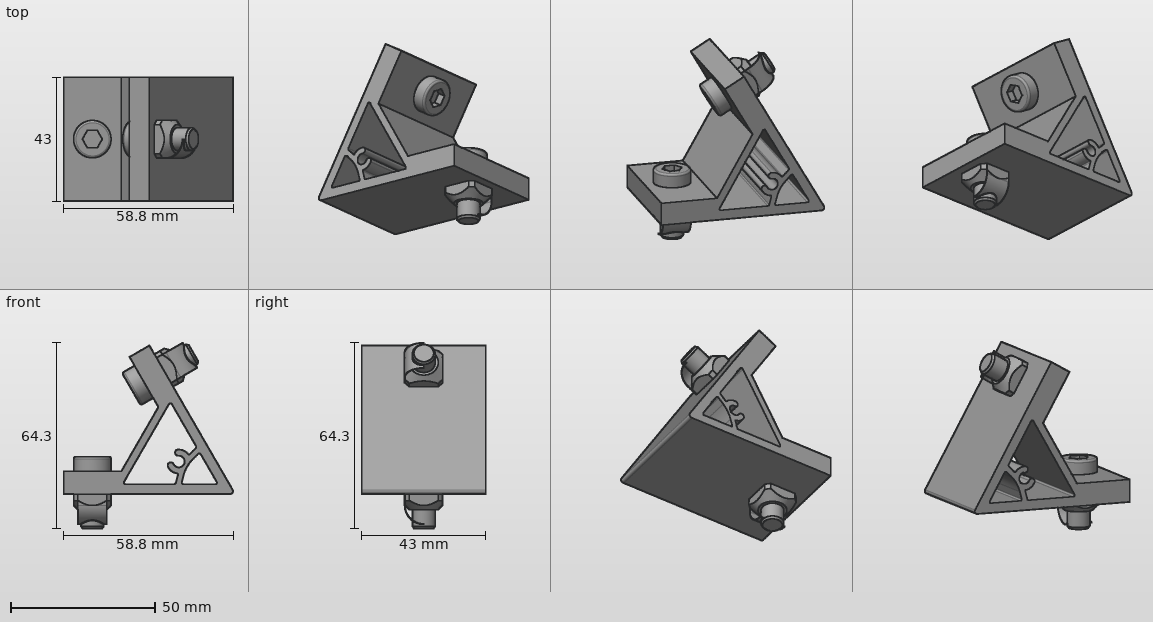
import cadquery as cq
import math

WIDTH = 43.0
ARM_ANGLE = 60.0
ARM_LENGTH = 59.5
ARM_THICKNESS = 8.0
ARM_FREE_LENGTH = 20.0
CORNER_RADIUS = 1.0
WALL_THICKNESS = 3.5
BRACE_THICKNESS = 2.7
CAVITY_RADIUS = 0.5
HALF_ANGLE = math.radians(ARM_ANGLE / 2)

WEB_THICKNESS = 2.0
WEB_INNER_RADIUS = 11.9
WEB_BEND = math.radians(15)
WEB_DISTANCE = 19.2
WEB_OUTER_RADIUS = WEB_INNER_RADIUS + WEB_THICKNESS
WEB_REACH = 19.3
BEND_CENTRE = WEB_DISTANCE - WEB_INNER_RADIUS
CLIP_DISTANCE = 22.6
CLIP_OUTER_RADIUS = 4.2
CLIP_INNER_RADIUS = 2.0
CLIP_ROOT_RADIUS = 0.3
CLIP_MOUTH = math.radians(56)

SCREW_INSET = 10.0
SCREW_DIAMETER = 8.0
SCREW_TIP_DIAMETER = 6.8
SCREW_TIP_CHAMFER = 0.85
SCREW_REACH = 11.9
HEAD_DIAMETER = 13.0
HEAD_HEIGHT = 5.0
HEAD_RADIUS = 0.8
SOCKET_FLATS = 6.0
SOCKET_DEPTH = 3.0

NUT_SIZE = 13.0
NUT_HEIGHT = 5.4
NUT_CORNER = 1.5
NUT_END_DIAMETER = 10.05
LEAF_THICKNESS = 0.2
LEAF_STRAIGHT = 3.8

LEAF_WIDTH = NUT_SIZE - 2 * NUT_CORNER
BISECTOR = math.pi - HALF_ANGLE
UPPER_ARM = math.pi - 2 * HALF_ANGLE


def polar(radius, angle):
    return (radius * math.cos(angle), radius * math.sin(angle))


corner_plane = cq.Plane(
    origin=(ARM_LENGTH, 0, 0),
    xDir=(math.cos(BISECTOR), 0, math.sin(BISECTOR)),
    normal=(0, -1, 0),
)


def arm_plane(x, z, angle):
    """Outer face of an arm: local X along the arm at the angle, local Z into the bracket."""
    return cq.Plane(
        origin=(x, 0, z),
        xDir=(math.cos(angle), 0, math.sin(angle)),
        normal=(-math.sin(angle), 0, math.cos(angle)),
    )


screw_distance = ARM_LENGTH - SCREW_INSET
upper_dx, upper_dz = polar(screw_distance, UPPER_ARM)
fastener_planes = [
    arm_plane(SCREW_INSET, 0, 0),
    arm_plane(ARM_LENGTH + upper_dx, upper_dz, UPPER_ARM),
]


def make_outline():
    """Solid bracket outline: an equilateral triangle with both arms running past the brace."""
    end_x, end_z = polar(ARM_LENGTH, UPPER_ARM)
    in_x, in_z = polar(ARM_THICKNESS, UPPER_ARM + math.pi / 2)
    free_x, free_z = polar(ARM_FREE_LENGTH, UPPER_ARM + math.pi)
    end = (ARM_LENGTH + end_x, end_z)
    inner_end = (end[0] + in_x, end[1] + in_z)
    brace_top = (inner_end[0] + free_x, inner_end[1] + free_z)
    outline = [
        (0, 0),
        (ARM_LENGTH, 0),
        end,
        inner_end,
        brace_top,
        (ARM_FREE_LENGTH, ARM_THICKNESS),
        (0, ARM_THICKNESS),
    ]
    body = cq.Workplane("XZ").polyline(outline).close().extrude(WIDTH / 2, both=True)
    return body.edges("|Y and >X").fillet(CORNER_RADIUS)


def make_web():
    """Bent web across the cavity, symmetric about the bisector and hollowed by the clip bore."""
    def bend_point(radius, angle):
        u, v = polar(radius, angle)
        return (BEND_CENTRE + u, v)

    def end_point(radius, side):
        u, v = bend_point(radius, side * WEB_BEND)
        return (u - WEB_REACH * math.sin(WEB_BEND), v + side * WEB_REACH * math.cos(WEB_BEND))

    strip = (
        cq.Workplane(corner_plane)
        .moveTo(*end_point(WEB_INNER_RADIUS, -1))
        .lineTo(*bend_point(WEB_INNER_RADIUS, -WEB_BEND))
        .threePointArc(bend_point(WEB_INNER_RADIUS, 0), bend_point(WEB_INNER_RADIUS, WEB_BEND))
        .lineTo(*end_point(WEB_INNER_RADIUS, 1))
        .lineTo(*end_point(WEB_OUTER_RADIUS, 1))
        .lineTo(*bend_point(WEB_OUTER_RADIUS, WEB_BEND))
        .threePointArc(bend_point(WEB_OUTER_RADIUS, 0), bend_point(WEB_OUTER_RADIUS, -WEB_BEND))
        .lineTo(*end_point(WEB_OUTER_RADIUS, -1))
        .close()
        .extrude(WIDTH / 2, both=True)
    )
    axis = cq.Workplane(corner_plane).center(CLIP_DISTANCE, 0)
    return strip.cut(axis.circle(CLIP_INNER_RADIUS).extrude(WIDTH / 2, both=True))


def make_clip():
    """C-shaped clip with round tips, opening along the bisector away from the corner."""
    tip_radius = (CLIP_OUTER_RADIUS - CLIP_INNER_RADIUS) / 2
    tip_u, tip_v = polar(CLIP_INNER_RADIUS + tip_radius, CLIP_MOUTH)
    crown_u = tip_u + tip_radius * math.sin(CLIP_MOUTH)
    crown_v = tip_v - tip_radius * math.cos(CLIP_MOUTH)
    outer_u, outer_v = polar(CLIP_OUTER_RADIUS, CLIP_MOUTH)
    inner_u, inner_v = polar(CLIP_INNER_RADIUS, CLIP_MOUTH)
    return (
        cq.Workplane(corner_plane)
        .center(CLIP_DISTANCE, 0)
        .moveTo(outer_u, outer_v)
        .threePointArc((-CLIP_OUTER_RADIUS, 0), (outer_u, -outer_v))
        .threePointArc((crown_u, -crown_v), (inner_u, -inner_v))
        .threePointArc((-CLIP_INNER_RADIUS, 0), (inner_u, inner_v))
        .threePointArc((crown_u, crown_v), (outer_u, outer_v))
        .close()
        .extrude(WIDTH / 2, both=True)
    )


def make_cavities():
    """The two parts of the triangular cavity, the one in the corner first."""
    arm_side = ARM_LENGTH - ARM_FREE_LENGTH - ARM_THICKNESS / math.tan(HALF_ANGLE)
    brace_distance = ARM_THICKNESS / math.sin(HALF_ANGLE) + arm_side * math.cos(HALF_ANGLE)
    near = WALL_THICKNESS / math.sin(HALF_ANGLE)
    far = brace_distance - BRACE_THICKNESS
    half_width = (far - near) * math.tan(HALF_ANGLE)
    triangle = (
        cq.Workplane(corner_plane)
        .polyline([(near, 0), (far, half_width), (far, -half_width)])
        .close()
        .extrude(WIDTH / 2, both=True)
    )
    parts = triangle.cut(make_web()).solids().vals()
    parts.sort(key=lambda part: part.Volume())
    return [
        cq.Workplane(part).edges("|Y").edges("<Z or >Z or >X").fillet(CAVITY_RADIUS) for part in parts
    ]


def leave_clip(cavity):
    """Take the clip out of the cavity, so that it stays standing on the web with rounded roots."""
    web_offset = (CLIP_DISTANCE - BEND_CENTRE) * math.cos(WEB_BEND) - WEB_OUTER_RADIUS
    root_angle = math.pi + WEB_BEND - math.acos(web_offset / CLIP_OUTER_RADIUS)
    root_u, root_v = polar(CLIP_OUTER_RADIUS, root_angle)
    cavity = cavity.cut(make_clip())
    for side in (1, -1):
        root = corner_plane.toWorldCoords((CLIP_DISTANCE + root_u, side * root_v, 0))
        cavity = cavity.edges(cq.NearestToPointSelector(root.toTuple())).fillet(CLIP_ROOT_RADIUS)
    return cavity


def make_bracket():
    bracket = make_outline()
    corner_cavity, brace_cavity = make_cavities()
    bracket = bracket.cut(corner_cavity).cut(leave_clip(brace_cavity))
    for plane in fastener_planes:
        hole = cq.Workplane(plane).circle(SCREW_DIAMETER / 2).extrude(ARM_THICKNESS)
        bracket = bracket.cut(hole)
    return bracket


def make_screw(plane):
    """Socket head screw, its head resting on the inner face of the arm."""
    head_seat = cq.Workplane(plane).workplane(offset=ARM_THICKNESS)
    head = head_seat.circle(HEAD_DIAMETER / 2).extrude(HEAD_HEIGHT)
    head = head.faces(cq.selectors.DirectionMinMaxSelector(plane.zDir)).edges().fillet(HEAD_RADIUS)
    socket = (
        head_seat.workplane(offset=HEAD_HEIGHT)
        .polygon(6, SOCKET_FLATS / math.cos(math.pi / 6))
        .extrude(-SOCKET_DEPTH)
    )
    shank = head_seat.circle(SCREW_DIAMETER / 2).extrude(-(ARM_THICKNESS + SCREW_REACH))
    tip_edge = shank.faces(cq.selectors.DirectionMinMaxSelector(plane.zDir, False)).edges()
    tip_inset = (SCREW_DIAMETER - SCREW_TIP_DIAMETER) / 2
    return head.union(tip_edge.chamfer(SCREW_TIP_CHAMFER, tip_inset)).cut(socket)


def make_nut(plane):
    """Square nut with a conical end and a thin spring leaf curling under it on the -Y side."""
    face = cq.Workplane(plane)
    half = NUT_SIZE / 2
    block_corners = [
        (half, half - NUT_CORNER),
        (half - NUT_CORNER, half),
        (NUT_CORNER - half, half),
        (-half, half - NUT_CORNER),
        (-half, NUT_CORNER - half),
        (NUT_CORNER - half, -half),
        (half - NUT_CORNER, -half),
        (half, NUT_CORNER - half),
    ]
    block = face.polyline(block_corners).close().extrude(-NUT_HEIGHT)
    cone = (
        face.workplane(offset=-NUT_HEIGHT)
        .circle(NUT_END_DIAMETER / 2)
        .workplane(offset=NUT_HEIGHT)
        .circle(NUT_END_DIAMETER / 2 + NUT_HEIGHT)
        .loft()
    )

    side = cq.Plane(origin=plane.origin, xDir=plane.yDir, normal=plane.xDir)
    outer = half + LEAF_THICKNESS
    diagonal = math.radians(225)
    inner_x, inner_y = polar(half, diagonal)
    outer_x, outer_y = polar(outer, diagonal)
    leaf = (
        cq.Workplane(side)
        .moveTo(-half, 0)
        .lineTo(-half, -LEAF_STRAIGHT)
        .threePointArc((inner_x, inner_y - LEAF_STRAIGHT), (0, -half - LEAF_STRAIGHT))
        .lineTo(0, -outer - LEAF_STRAIGHT)
        .threePointArc((outer_x, outer_y - LEAF_STRAIGHT), (-outer, -LEAF_STRAIGHT))
        .lineTo(-outer, 0)
        .close()
        .extrude(LEAF_WIDTH / 2, both=True)
    )
    bore = face.circle(SCREW_DIAMETER / 2).extrude(-SCREW_REACH)
    return block.intersect(cone).union(leaf).cut(bore)


bracket = make_bracket().solids().val()
screws = [make_screw(plane).solids().val() for plane in fastener_planes]
nuts = [make_nut(plane).solids().val() for plane in fastener_planes]
result = cq.Compound.makeCompound([bracket, *screws, *nuts])